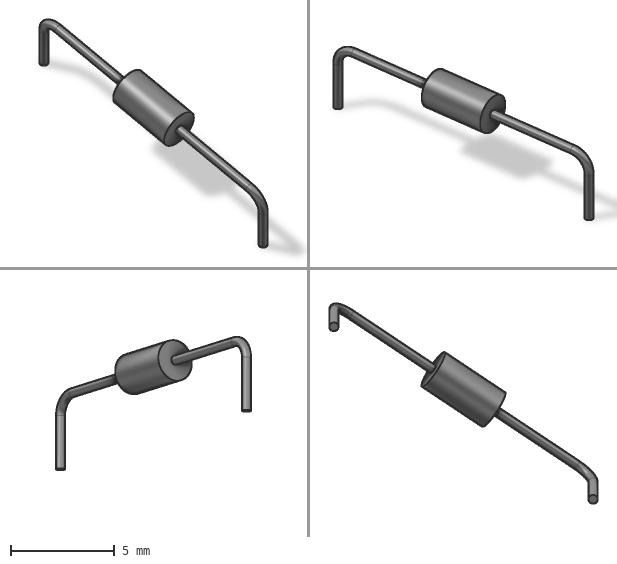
import cadquery as cq

body_diameter = 2.0
body_length = 3.55
lead_diameter = 0.45
lead_pitch = 15.24
overall_height = 4.6
bend_radius = 0.975

axis_height = body_diameter / 2
lead_x = lead_pitch / 2
lead_bottom = body_diameter - overall_height
bend_start_x = lead_x - bend_radius
bend_end_z = axis_height - bend_radius


def make_body():
    """Cylindrical body lying along X."""
    return (
        cq.Workplane("YZ", origin=(-body_length / 2, 0, axis_height))
        .circle(body_diameter / 2)
        .extrude(body_length)
    )


def make_lead():
    """One round wire: out of the body centre along +X, bent down, then straight to its tip."""
    path = (
        cq.Workplane("XZ")
        .moveTo(0, axis_height)
        .lineTo(bend_start_x, axis_height)
        .tangentArcPoint((lead_x, bend_end_z), relative=False)
        .lineTo(lead_x, lead_bottom)
    )
    return (
        cq.Workplane("YZ", origin=(0, 0, axis_height))
        .circle(lead_diameter / 2)
        .sweep(path)
    )


right_lead = make_lead()
left_lead = right_lead.mirror("YZ")

result = make_body().union(right_lead).union(left_lead)